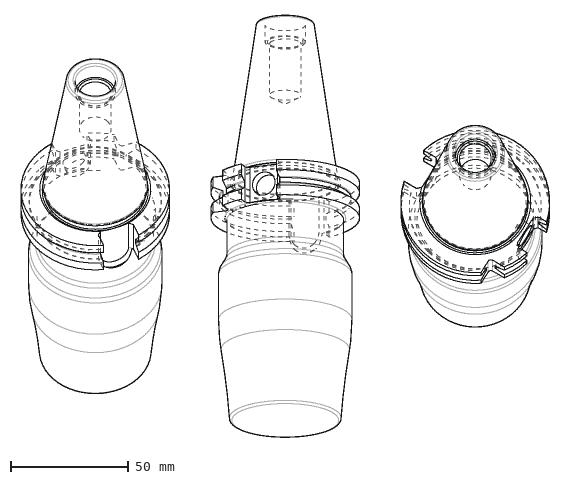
import cadquery as cq
import math

total_height = 178.4
gauge_height = 110.0
flange_top = 106.9
flange_bottom = 91.0
groove_height = 98.8

taper_ratio = 7 / 24
gauge_radius = 22.3
gauge_land = 1.2
relief_radius = 21.8
relief_recess_radius = 23.7
relief_floor_radius = 22.7
relief_recess_depth = 0.9
top_fillet = 0.9

flange_radius = 31.8
groove_floor_radius = 28.2
groove_fillet = 0.5
groove_mouth = 6.8
groove_half_angle = math.radians(30)

neck_radius = 25.0
neck_fillet = 0.9
body_radius = 28.5
shoulder_top = 74.4
shoulder_fillet = 5.0
shoulder_angle = math.radians(30)
bulge_top = 45.1
bulge_bottom = 31.8
bulge_bottom_radius = 27.5
nose_radius = 23.9
nose_fillet = 1.0

slot_width = 16.0
slot_chamfer = 1.6
plain_slot_floor = neck_radius
deep_slot_floor = 22.8
notch_offset = 18.5
notch_fillet = 1.5

drill_half_angle = math.radians(59)
chip_hole_radius = 5.2
chip_hole_depth = 4.6
pilot_radius = 8.5
step_radius = 7.7
mouth_fillet = 0.9
pilot_depth = 8.2
thread_radius = 6.8
thread_depth = 32.1


def revolved_body():
    """Taper, flange, neck and chuck body as one turned solid."""
    taper_top = total_height - top_fillet
    top_radius = gauge_radius - (taper_top - gauge_height) * taper_ratio / 2
    groove_depth = flange_radius - groove_floor_radius
    groove_half_mouth = groove_mouth / 2
    groove_half_floor = groove_half_mouth - groove_depth * math.tan(groove_half_angle)

    fillet_height = shoulder_fillet * math.sin(shoulder_angle)
    fillet_width = shoulder_fillet * (1 - math.cos(shoulder_angle))
    cone_top = shoulder_top - fillet_height
    cone_top_radius = neck_radius + fillet_width
    cone_bottom_radius = body_radius - fillet_width
    cone_bottom = cone_top - (cone_bottom_radius - cone_top_radius) / math.tan(shoulder_angle)

    profile = (
        cq.Workplane("XZ")
        .moveTo(0, total_height)
        .lineTo(top_radius - top_fillet, total_height)
        .tangentArcPoint((top_radius, taper_top), relative=False)
        .lineTo(gauge_radius, gauge_height)
        .lineTo(gauge_radius, gauge_height - gauge_land)
        .lineTo(relief_radius, gauge_height - gauge_land)
        .lineTo(relief_radius, flange_top - relief_recess_depth)
        .lineTo(relief_floor_radius, flange_top - relief_recess_depth)
        .lineTo(relief_recess_radius, flange_top)
        .lineTo(flange_radius, flange_top)
        .lineTo(flange_radius, groove_height + groove_half_mouth)
        .lineTo(groove_floor_radius, groove_height + groove_half_floor)
        .lineTo(groove_floor_radius, groove_height - groove_half_floor)
        .lineTo(flange_radius, groove_height - groove_half_mouth)
        .lineTo(flange_radius, flange_bottom)
        .lineTo(neck_radius + neck_fillet, flange_bottom)
        .tangentArcPoint((-neck_fillet, -neck_fillet))
        .lineTo(neck_radius, shoulder_top)
        .tangentArcPoint((cone_top_radius, cone_top), relative=False)
        .lineTo(cone_bottom_radius, cone_bottom)
        .tangentArcPoint((body_radius, cone_bottom - fillet_height), relative=False)
        .lineTo(body_radius, bulge_top)
        .tangentArcPoint((bulge_bottom_radius, bulge_bottom), relative=False)
        .tangentArcPoint((nose_radius, nose_fillet), relative=False)
        .tangentArcPoint((nose_radius - nose_fillet, 0), relative=False)
        .lineTo(0, 0)
        .close()
    )
    turned = profile.revolve(360, (0, 0), (0, 1))

    edge_margin = 0.2
    floor_edges = cq.selectors.BoxSelector(
        (-flange_radius, -flange_radius, groove_height - groove_half_floor - edge_margin),
        (flange_radius, flange_radius, groove_height + groove_half_floor + edge_margin),
    )
    return turned.edges(floor_edges).edges("%CIRCLE").fillet(groove_fillet)


def plain_slot():
    """Straight slot across the flange on the -X side, ending at the neck surface."""
    depth = flange_radius - plain_slot_floor
    slot = (
        cq.Workplane("XY")
        .box(depth, slot_width, flange_top - flange_bottom, centered=(False, True, False))
        .translate((-flange_radius, 0, flange_bottom))
    )
    return slot.edges("|Z and >X").chamfer(slot_chamfer)


def deep_slot():
    """Deeper slot on the +X side with a round end running into the neck."""
    half_width = slot_width / 2
    slot = (
        cq.Workplane("YZ", origin=(deep_slot_floor, 0, 0))
        .moveTo(-half_width, flange_top)
        .lineTo(-half_width, flange_bottom)
        .threePointArc((0, flange_bottom - half_width), (half_width, flange_bottom))
        .lineTo(half_width, flange_top)
        .close()
        .extrude(flange_radius - deep_slot_floor)
    )
    return slot.edges("<X").edges("not >Z").chamfer(slot_chamfer)


def notch():
    """Square notch through the flange in the -X +Y quadrant."""
    reach = flange_radius - notch_offset
    block = cq.Workplane("XY").box(reach, reach, flange_top - flange_bottom, centered=False)
    block = block.translate((-flange_radius, notch_offset, flange_bottom))
    return block.edges("|Z and >X and <Y").fillet(notch_fillet)


def drawbar_bore():
    """Rounded pilot bore stepping down to a drilled thread hole on the axis."""
    mouth_radius = pilot_radius + mouth_fillet
    pilot_floor = total_height - pilot_depth
    thread_floor = total_height - thread_depth
    profile = (
        cq.Workplane("XZ")
        .moveTo(0, thread_floor - thread_radius / math.tan(drill_half_angle))
        .lineTo(thread_radius, thread_floor)
        .lineTo(thread_radius, pilot_floor - (step_radius - thread_radius))
        .lineTo(step_radius, pilot_floor)
        .lineTo(pilot_radius, pilot_floor)
        .lineTo(pilot_radius, total_height - mouth_fillet)
        .tangentArcPoint((mouth_radius, total_height), relative=False)
        .lineTo(0, total_height)
        .close()
    )
    return profile.revolve(360, (0, 0), (0, 1))


def chip_hole():
    """Drilled blind hole in the floor of the plain slot, along X."""
    mouth = cq.Workplane("YZ", origin=(-plain_slot_floor, 0, groove_height))
    return mouth.circle(chip_hole_radius).extrude(chip_hole_depth)


result = revolved_body()
for cutter in (plain_slot(), deep_slot(), notch(), drawbar_bore(), chip_hole()):
    result = result.cut(cutter)